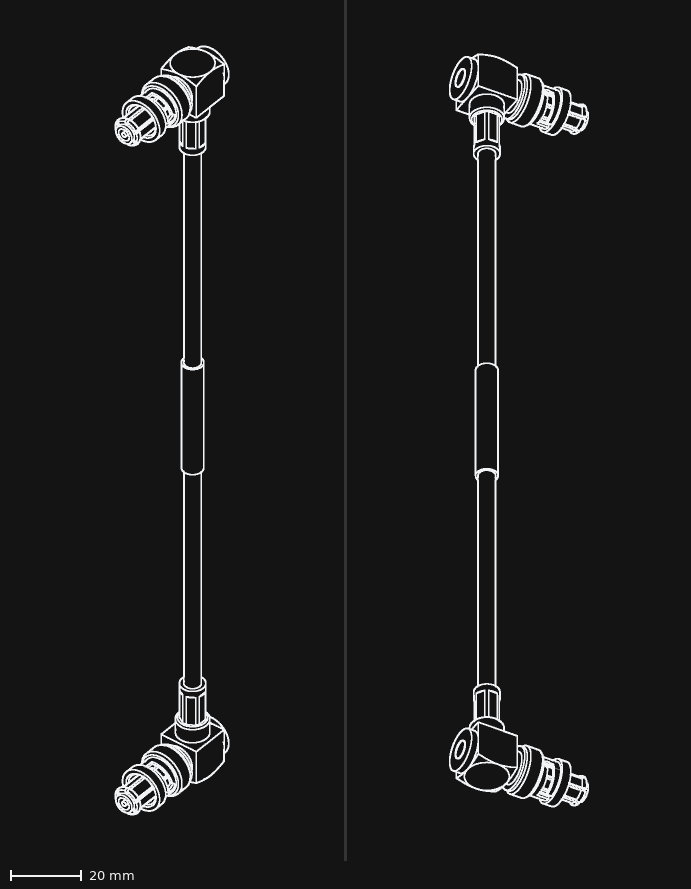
import cadquery as cq
import math


CONNECTOR_SPACING = 241.9
CONNECTOR_Z = CONNECTOR_SPACING / 2

CABLE_RADIUS = 2.5
SLEEVE_RADIUS = 3.2
SLEEVE_LENGTH = 38.0

BLOCK_SIZE = 12.7
BLOCK_HALF = BLOCK_SIZE / 2
CORNER_SLOPE = 0.5
CAP_RADIUS = BLOCK_HALF
CAP_REAR = 8.5
CAP_BOSS_RADIUS = 2.7
CAP_BOSS_REAR = 8.7
NECK_RADIUS = 4.9
NECK_END = 11.7
NECK_CHAMFER = 0.6

SHAFT_RADIUS = 4.9
SHAFT_FRONT = -15.0
NOSE_RADIUS = 3.9
BEAD_BACK = -28.8
BEAD_FRONT = -30.2
BEAD_HEIGHT = 0.5
TIP_FRONT = -31.31
TIP_RADIUS = 2.9
TIP_BORE_RADIUS = 1.9
PIN_RADIUS = 0.7
NOSE_SLOTS = 6
NOSE_SLOT_WIDTH = 0.8

FERRULE_RADIUS = 3.75
FERRULE_END = 24.0
CRIMP_END = 21.7
CRIMP_FLATS = 7.0

NUT_BACK = -8.6
GRIP_BACK = -9.4
GRIP_FRONT = -14.8
GRIP_RADIUS = 7.25
GRIP_END_RADIUS = 6.6
GRIP_CHAMFER_LENGTH = 0.8
BARREL_RADIUS = 5.8
FLANGE_BACK = -20.7
FLANGE_RADIUS = 6.7
NUT_FRONT = -23.5
MOUTH_CHAMFER = 0.5

SLOT_WIDTH = 2.2
SLOT_TOP_Z = 1.3
SLOT_TOP_Y = -17.3
SLOT_LEAD = 1.0
DETENT_RADIUS = 1.2
DETENT_Y = -16.6
DETENT_Z = 0.4
ENTRY_WIDTH = 1.6
ENTRY_NEAR_X = -0.4
ENTRY_FAR_X = ENTRY_NEAR_X + ENTRY_WIDTH


def turned_about_y(outline):
    """Revolve a closed (radius, y) outline about the Y axis."""
    return outline.close().revolve(360, (0, 0, 0), (0, 1, 0))


def y_rod(radius, y_front, y_back):
    return cq.Workplane("XZ", origin=(0, y_back, 0)).circle(radius).extrude(y_back - y_front)


def z_rod(radius, z_low, z_high):
    return cq.Workplane("XY", origin=(0, 0, z_low)).circle(radius).extrude(z_high - z_low)


def make_cable():
    half_length = CONNECTOR_Z - NECK_END
    core = z_rod(CABLE_RADIUS, -half_length, half_length)
    return core.union(z_rod(SLEEVE_RADIUS, -SLEEVE_LENGTH / 2, SLEEVE_LENGTH / 2))


def make_block():
    """Cube whose top corners are turned down by a cone about Z."""
    cube = cq.Workplane("XY").box(BLOCK_SIZE, BLOCK_SIZE, BLOCK_SIZE)
    envelope = (
        cq.Workplane("XZ")
        .moveTo(0, -BLOCK_SIZE)
        .lineTo(BLOCK_SIZE, -BLOCK_SIZE)
        .lineTo(BLOCK_SIZE, BLOCK_HALF - CORNER_SLOPE * (BLOCK_SIZE - BLOCK_HALF))
        .lineTo(BLOCK_HALF, BLOCK_HALF)
        .lineTo(0, BLOCK_HALF)
        .close()
        .revolve(360, (0, 0, 0), (0, 1, 0))
    )
    return cube.intersect(envelope)


def make_nose():
    """Shaft, beaded nose and tip, with a bore around the pin and slots in the nose wall."""
    nose = turned_about_y(
        cq.Workplane("XY")
        .moveTo(0, 0)
        .lineTo(SHAFT_RADIUS, 0)
        .lineTo(SHAFT_RADIUS, SHAFT_FRONT)
        .lineTo(NOSE_RADIUS, SHAFT_FRONT)
        .lineTo(NOSE_RADIUS, BEAD_BACK)
        .threePointArc((NOSE_RADIUS + BEAD_HEIGHT, (BEAD_BACK + BEAD_FRONT) / 2), (NOSE_RADIUS, BEAD_FRONT))
        .lineTo(TIP_RADIUS, BEAD_FRONT)
        .lineTo(TIP_RADIUS, TIP_FRONT)
        .lineTo(0, TIP_FRONT)
    )
    bore = y_rod(TIP_BORE_RADIUS, TIP_FRONT, SHAFT_FRONT).cut(y_rod(PIN_RADIUS, TIP_FRONT, SHAFT_FRONT))
    nose = nose.cut(bore)

    slot = cq.Workplane("XY").box(
        NOSE_SLOT_WIDTH, SHAFT_FRONT - BEAD_FRONT, NOSE_RADIUS, centered=(True, False, False)
    )
    slot = slot.translate((0, BEAD_FRONT, TIP_RADIUS))
    for i in range(NOSE_SLOTS):
        nose = nose.cut(slot.rotate((0, 0, 0), (0, 1, 0), i * 360 / NOSE_SLOTS))
    return nose


def make_elbow():
    cap = y_rod(CAP_RADIUS, BLOCK_HALF, CAP_REAR)
    cap_boss = y_rod(CAP_BOSS_RADIUS, CAP_REAR, CAP_BOSS_REAR)
    neck = z_rod(NECK_RADIUS, -NECK_END, 0).faces("<Z").chamfer(NECK_CHAMFER)
    return make_block().union(cap).union(cap_boss).union(neck).union(make_nose())


def make_ferrule():
    """Round tube over the cable, crimped to a hexagon with flats facing -X and +X."""
    tube = z_rod(FERRULE_RADIUS, -FERRULE_END, -NECK_END)
    hexagon = (
        cq.Workplane("XY", origin=(0, 0, -CRIMP_END))
        .polygon(6, CRIMP_FLATS / math.cos(math.pi / 6))
        .extrude(CRIMP_END - NECK_END)
        .rotate((0, 0, 0), (0, 0, 1), 30)
    )
    round_end = z_rod(FERRULE_RADIUS, -FERRULE_END, -CRIMP_END)
    crimped = tube.intersect(hexagon.union(round_end))
    return crimped.cut(z_rod(CABLE_RADIUS, -FERRULE_END, -NECK_END))


def make_bayonet_cutter():
    """Slanted slot on the -X side with its detent, and the axial entry at the bottom."""
    low_z = -GRIP_RADIUS
    reach = GRIP_RADIUS + ENTRY_FAR_X
    half_width = SLOT_WIDTH / 2
    low_y = SLOT_TOP_Y - SLOT_LEAD
    slot = (
        cq.Workplane("YZ", origin=(-GRIP_RADIUS, 0, 0))
        .moveTo(SLOT_TOP_Y - half_width, SLOT_TOP_Z)
        .lineTo(SLOT_TOP_Y + half_width, SLOT_TOP_Z)
        .lineTo(low_y + half_width, low_z)
        .lineTo(low_y - half_width, low_z)
        .close()
        .extrude(reach)
    )
    detent = (
        cq.Workplane("YZ", origin=(-GRIP_RADIUS, DETENT_Y, DETENT_Z))
        .circle(DETENT_RADIUS)
        .extrude(GRIP_RADIUS)
    )
    entry = cq.Workplane("XY").box(ENTRY_WIDTH, low_y - FLANGE_BACK, GRIP_RADIUS, centered=False)
    entry = entry.translate((ENTRY_NEAR_X, FLANGE_BACK, low_z))
    return slot.union(detent).union(entry)


def make_nut():
    nut = turned_about_y(
        cq.Workplane("XY")
        .moveTo(SHAFT_RADIUS, NUT_BACK)
        .lineTo(GRIP_END_RADIUS, NUT_BACK)
        .lineTo(GRIP_END_RADIUS, GRIP_BACK)
        .lineTo(GRIP_RADIUS, GRIP_BACK - GRIP_CHAMFER_LENGTH)
        .lineTo(GRIP_RADIUS, GRIP_FRONT + GRIP_CHAMFER_LENGTH)
        .lineTo(GRIP_END_RADIUS, GRIP_FRONT)
        .lineTo(BARREL_RADIUS, GRIP_FRONT)
        .lineTo(BARREL_RADIUS, FLANGE_BACK)
        .lineTo(FLANGE_RADIUS, FLANGE_BACK)
        .lineTo(FLANGE_RADIUS, NUT_FRONT)
        .lineTo(SHAFT_RADIUS + MOUTH_CHAMFER, NUT_FRONT)
        .lineTo(SHAFT_RADIUS, NUT_FRONT + MOUTH_CHAMFER)
    )
    cutter = make_bayonet_cutter()
    for angle in (0, 180):
        nut = nut.cut(cutter.rotate((0, 0, 0), (0, 1, 0), angle))
    return nut


def place(body, end):
    """Move a connector body to the upper (+1) or lower (-1) end of the cable."""
    turn = 0 if end > 0 else 180
    return body.rotate((0, 0, 0), (0, 1, 0), turn).translate((0, 0, end * CONNECTOR_Z))


bodies = [make_cable().val()]
for end in (1, -1):
    for body in (make_elbow(), make_ferrule(), make_nut()):
        bodies.append(place(body, end).val())

result = cq.Compound.makeCompound(bodies)